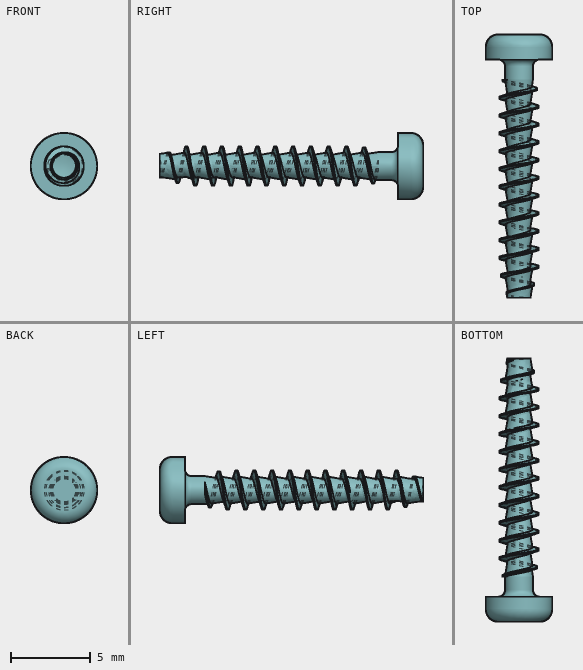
import cadquery as cq
import math

head_radius = 2.1
head_height = 1.6
head_round = 0.8

shank_length = 15.0
neck_radius = 0.89
neck_fillet = 0.4
neck_length = 1.25

core_radius = 0.73
core_cone_length = 1.15
core_cone_end_radius = 0.71

dish_radius = 0.67
dish_depth = 0.08

pitch = 1.12
crest_radius = 1.25
crest_width = 0.08
flank_angle = math.radians(15)
thread_start = -1.0
thread_start_angle = math.radians(90)
thread_turns = 12.5
lead_in_radius = 1.0
lead_in_turns = 1.25
lead_out_radius = 0.7
lead_out_turns = 1.5
points_per_turn = 16

root_radius = 0.86
root_end_radius = 0.725
least_tooth_height = 0.03
buried_radius = 0.65
turn_gap = 0.01


def make_head_and_neck():
    """Head, filleted neck and the cone below it as one revolved body."""
    arc_mid = math.sqrt(0.5)
    round_centre = (head_radius - head_round, head_height - head_round)
    fillet_centre = (neck_radius + neck_fillet, -neck_fillet)
    profile = (
        cq.Workplane("XY")
        .moveTo(0, -neck_length - core_cone_length)
        .lineTo(core_cone_end_radius, -neck_length - core_cone_length)
        .lineTo(neck_radius, -neck_length)
        .lineTo(neck_radius, -neck_fillet)
        .threePointArc(
            (fillet_centre[0] - neck_fillet * arc_mid, fillet_centre[1] + neck_fillet * arc_mid),
            (fillet_centre[0], 0),
        )
        .lineTo(head_radius, 0)
        .lineTo(head_radius, round_centre[1])
        .threePointArc(
            (round_centre[0] + head_round * arc_mid, round_centre[1] + head_round * arc_mid),
            (round_centre[0], head_height),
        )
        .lineTo(0, head_height)
        .close()
    )
    return profile.revolve(360, (0, 0, 0), (0, 1, 0))


def crest_radius_at(turn):
    """Crest radius, growing along the lead-in and shrinking along the lead-out."""
    lead_in = lead_in_radius + (crest_radius - lead_in_radius) * turn / lead_in_turns
    turns_left = thread_turns - turn
    lead_out = lead_out_radius + (crest_radius - lead_out_radius) * turns_left / lead_out_turns
    return min(lead_in, crest_radius, lead_out)


def thread_section(turn):
    """Section of the thread body as (radius, offset from tooth centre toward the tip) pairs."""
    crest = crest_radius_at(turn)
    root = min(root_radius, crest - least_tooth_height)
    half_crest = crest_width / 2
    half_at_root = half_crest + (crest - root) * math.tan(flank_angle)
    half_at_base = half_crest + (crest - buried_radius) * math.tan(flank_angle)
    root_end = pitch - half_at_base - turn_gap
    return [
        (buried_radius, -half_at_base),
        (crest, -half_crest),
        (crest, half_crest),
        (root, half_at_root),
        (root_end_radius, root_end),
        (buried_radius, root_end),
    ]


def helix_edge(corner):
    """Curve followed by one corner of the thread section."""
    points = []
    for step in range(int(thread_turns * points_per_turn) + 1):
        turn = step / points_per_turn
        radius, offset = thread_section(turn)[corner]
        angle = thread_start_angle + 2 * math.pi * turn
        axial = thread_start - pitch * turn - offset
        points.append(cq.Vector(radius * math.cos(angle), axial, radius * math.sin(angle)))
    return cq.Edge.makeSpline(points)


def make_thread():
    """Helical thread body, closed by a flat section at each end."""
    edges = [helix_edge(corner) for corner in range(len(thread_section(0)))]
    faces = [cq.Face.makeRuledSurface(edge, edges[i - 1]) for i, edge in enumerate(edges)]
    for end in (0, 1):
        corners = [edge.positionAt(end) for edge in edges]
        faces.append(cq.Face.makeFromWires(cq.Wire.makePolygon(corners, close=True)))
    body = cq.Solid.makeSolid(cq.Shell.makeShell(faces))
    return cq.Workplane(obj=body.fix())


def make_rod(radius, lower_end, upper_end):
    """Cylinder along Y between two Y positions."""
    return cq.Workplane("XZ", origin=(0, upper_end, 0)).circle(radius).extrude(upper_end - lower_end)


def make_threaded_shank():
    """Core with its thread, trimmed to the length between the neck and the tip."""
    core = make_rod(core_radius, -shank_length - pitch, 0)
    limits = make_rod(head_radius, -shank_length, -neck_length)
    return core.union(make_thread()).intersect(limits)


def make_tip_dish():
    """Ball that hollows the end face of the tip."""
    ball_radius = (dish_radius**2 + dish_depth**2) / (2 * dish_depth)
    ball_centre = (0, -shank_length + dish_depth - ball_radius, 0)
    return cq.Workplane("XY").sphere(ball_radius).translate(ball_centre)


result = make_head_and_neck().union(make_threaded_shank()).cut(make_tip_dish())